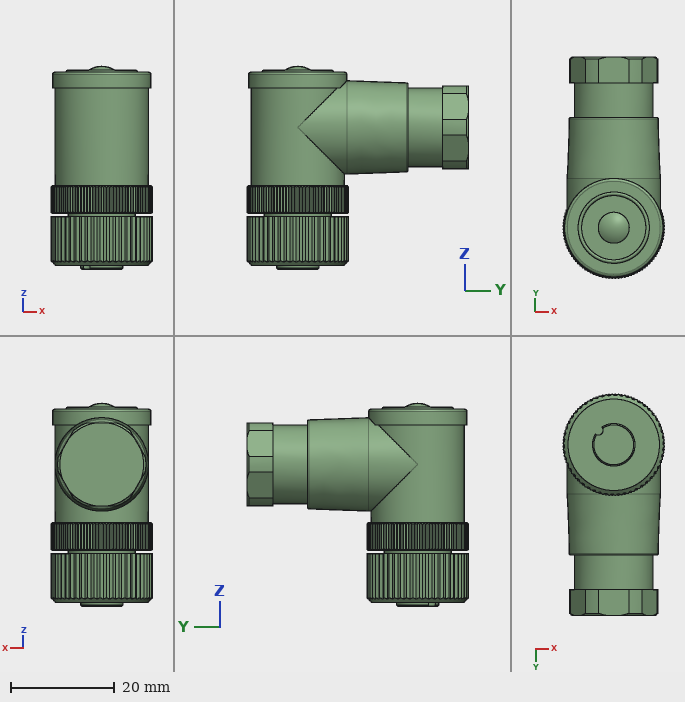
import cadquery as cq
import math


overall_width = 19.6
overall_length = 42.7
overall_height = 39.1
grip_radius = overall_width / 2

dome_top = 11.8
cap_top = 10.68
cap_bottom = 7.55
ring_top = -11.2
ring_bottom = -16.6
nut_top = -17.15
nut_bottom = -26.65
insert_bottom = dome_top - overall_height

body_radius = 9.0
neck_radius = 6.5

cap_radius = 9.5
cap_edge_fillet = 0.5
bead_radius = 6.55
bead_section_radius = 0.35
dome_base_radius = 3.0

nut_tooth_count = 50
ring_tooth_count = 2 * nut_tooth_count
nut_tooth_depth = 0.3
ring_tooth_depth = nut_tooth_depth / 2
first_tooth_angle = 268.2
ring_chamfer = 0.3
nut_chamfer = 1.0

insert_radius = 4.1
insert_chamfer = 0.25
keyway_radius = 0.95
keyway_angle = 223.0

arm_end = overall_length - grip_radius
taper_start = 9.45
taper_end = 21.25
taper_end_radius = 8.6
taper_edge_fillet = 0.35
gland_radius = 7.6
gland_nut_length = 5.0
gland_nut_flats = 15.95
gland_nut_radius = 8.5
gland_nut_chamfer = 0.43


def upright_cylinder(radius, bottom, top):
    """Cylinder on the plug axis between two heights.

    Its seam faces -Y, clear of the points where the arm touches the barrel sideways.
    """
    base = cq.Plane(origin=(0, 0, bottom), xDir=(0, -1, 0), normal=(0, 0, 1))
    return cq.Workplane(base).circle(radius).extrude(top - bottom)


def arm_plane(distance):
    """Plane across the arm at a distance along +Y, facing +Y, with its x axis up."""
    return cq.Workplane(cq.Plane(origin=(0, distance, 0), xDir=(0, 0, 1), normal=(0, 1, 0)))


def arm_cylinder(radius, start, end):
    """Cylinder on the arm axis between two distances along +Y."""
    return arm_plane(start).circle(radius).extrude(end - start)


def polar_point(radius, angle):
    """Point at an angle in degrees around the plug axis."""
    return (radius * math.cos(math.radians(angle)), radius * math.sin(math.radians(angle)))


def knurled_disc(bottom, top, tooth_count, tooth_depth):
    """Disc whose rim is a row of straight V-shaped teeth."""
    pitch = 360 / tooth_count
    outline = []
    for tooth in range(tooth_count):
        tip_angle = first_tooth_angle + tooth * pitch
        outline.append(polar_point(grip_radius, tip_angle))
        outline.append(polar_point(grip_radius - tooth_depth, tip_angle + pitch / 2))
    return cq.Workplane("XY").workplane(offset=bottom).polyline(outline).close().extrude(top - bottom)


def make_cap():
    """Round lid with a raised ring bead and a central dome."""
    lid = upright_cylinder(cap_radius, cap_bottom, cap_top).faces(">Z").edges().fillet(cap_edge_fillet)
    bead = cq.Workplane("XY").add(
        cq.Solid.makeTorus(bead_radius, bead_section_radius, cq.Vector(0, 0, cap_top))
    )
    dome_height = dome_top - cap_top
    dome_radius = (dome_base_radius**2 + dome_height**2) / (2 * dome_height)
    dome = (
        cq.Workplane("XY", origin=(0, 0, dome_top - dome_radius))
        .sphere(dome_radius)
        .intersect(upright_cylinder(dome_base_radius, cap_bottom, dome_top))
    )
    return lid.union(bead).union(dome)


def make_ring():
    """Finely knurled ring, chamfered at both ends."""
    envelope = upright_cylinder(grip_radius, ring_bottom, ring_top).edges().chamfer(ring_chamfer)
    return knurled_disc(ring_bottom, ring_top, ring_tooth_count, ring_tooth_depth).intersect(envelope)


def make_coupling_nut():
    """Coarsely knurled nut, chamfered at the bottom."""
    envelope = upright_cylinder(grip_radius, nut_bottom, nut_top).faces("<Z").edges().chamfer(nut_chamfer)
    return knurled_disc(nut_bottom, nut_top, nut_tooth_count, nut_tooth_depth).intersect(envelope)


def make_insert():
    """Contact insert showing below the nut, with a round keyway in its rim."""
    insert = upright_cylinder(insert_radius, insert_bottom, nut_bottom)
    insert = insert.faces("<Z").edges().chamfer(insert_chamfer)
    keyway = upright_cylinder(keyway_radius, insert_bottom, nut_bottom)
    return insert.cut(keyway.translate(polar_point(insert_radius, keyway_angle) + (0,)))


def make_arm():
    """Straight arm from the plug axis, then a taper and the cable gland."""
    straight = arm_cylinder(body_radius, 0, taper_start)
    taper = (
        arm_plane(taper_start)
        .circle(body_radius)
        .workplane(offset=taper_end - taper_start)
        .circle(taper_end_radius)
        .loft()
        .faces(">Y")
        .edges()
        .fillet(taper_edge_fillet)
    )
    return straight.union(taper).union(arm_cylinder(gland_radius, taper_start, arm_end))


def make_gland_nut():
    """Hexagon nut with rounded corners, two flats facing up and down."""
    start = arm_end - gland_nut_length
    across_corners = gland_nut_flats / math.cos(math.radians(30))
    hexagon = (
        arm_plane(start)
        .transformed(rotate=(0, 0, 30))
        .polygon(6, across_corners)
        .extrude(gland_nut_length)
    )
    envelope = arm_cylinder(gland_nut_radius, start, arm_end).faces(">Y").edges().chamfer(gland_nut_chamfer)
    return hexagon.intersect(envelope)


barrel = upright_cylinder(body_radius, ring_top, cap_bottom)
neck = upright_cylinder(neck_radius, nut_top, ring_bottom)

result = barrel.union(make_arm()).union(make_gland_nut())
for feature in (make_cap(), make_ring(), neck, make_coupling_nut(), make_insert()):
    result = result.union(feature)